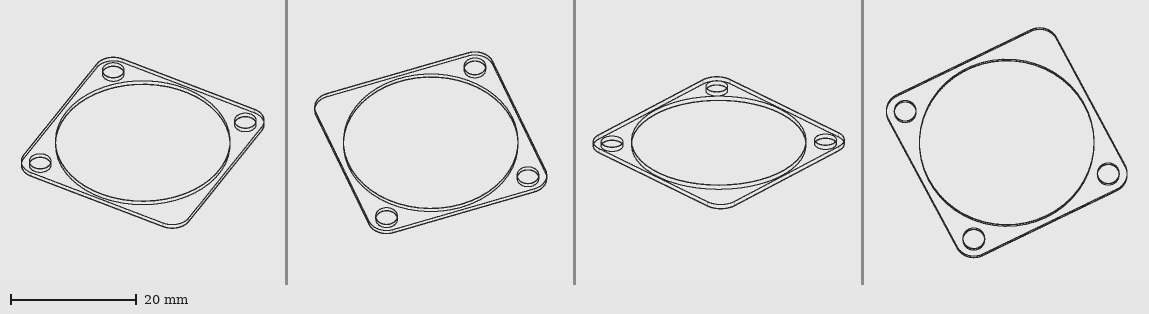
import cadquery as cq

plate_side = 30.0
plate_thickness = 0.8
corner_radius = 3.0

bore_diameter = 27.75
screw_hole_diameter = 3.45
screw_hole_spacing = 24.0


def make_plate():
    """Flat square plate with rounded vertical corners."""
    plate = cq.Workplane("XY").rect(plate_side, plate_side).extrude(plate_thickness)
    return plate.edges("|Z").fillet(corner_radius)


def cut_bore(plate):
    """Large central opening, through the plate."""
    return plate.faces(">Z").workplane(origin=(0, 0, 0)).hole(bore_diameter)


def cut_screw_holes(plate):
    """Screw holes in three corners; the +X, -Y corner stays solid."""
    offset = screw_hole_spacing / 2
    centres = [(-offset, -offset), (-offset, offset), (offset, offset)]
    return plate.faces(">Z").workplane(origin=(0, 0, 0)).pushPoints(centres).hole(screw_hole_diameter)


result = cut_screw_holes(cut_bore(make_plate()))